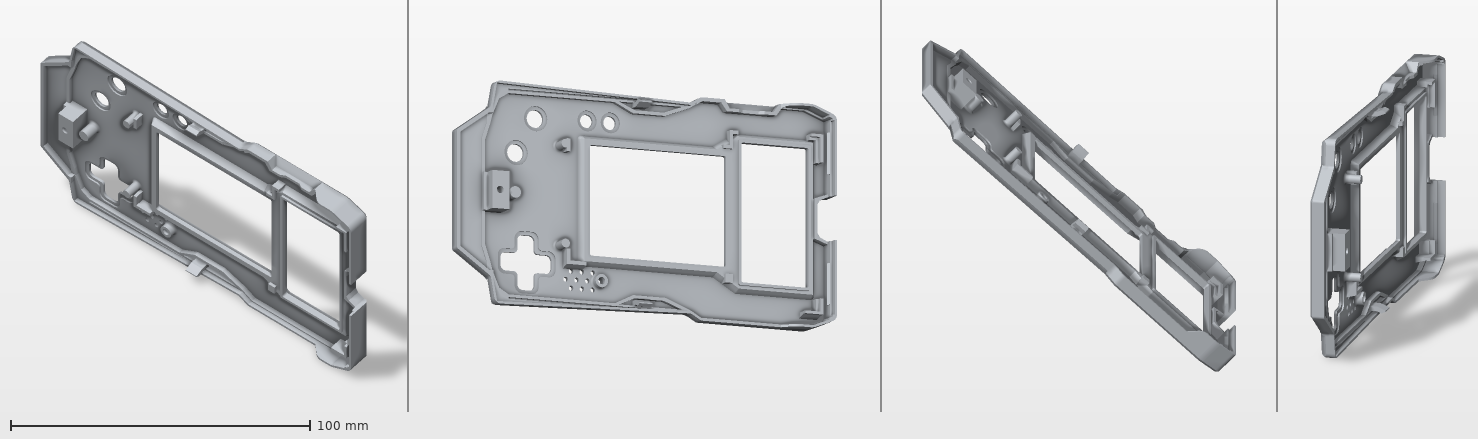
import cadquery as cq
import math


LENGTH = 137.5
HEIGHT = 76.0
HALF_HEIGHT = HEIGHT / 2
TOTAL_DEPTH = 9.1
RIM_DEPTH = 5.0
FLOOR_DEPTH = 1.5
WING_FLOOR_DEPTH = 2.8
WING_EDGE_DEPTH = 3.2
FRAME_DEPTH = 4.0
LEDGE_DEPTH = 3.3
RIB_DEPTH = 5.1
RIB_THICKNESS = 1.2
STEP_WIDTH = 1.0
TALL_RIB_DEPTH = 6.7
OUTER_CHAMFER = 0.8
SIDE_BEVEL_DEPTH = 1.9
SIDE_BEVEL_INSET = 1.4
WALL = 1.4


def plane_at(depth):
    """Workplane parallel to the outer face, with +X and +Z as its axes and extruding towards -Y."""
    return cq.Workplane("XZ", origin=(0, -depth, 0))


def prism(points, start, end):
    """Polygon in X and Z, extruded from one depth to another."""
    return plane_at(start).polyline(points).close().extrude(end - start)


def box(x0, x1, z0, z1, start, end):
    """Block between two X, two Z and two depth limits."""
    return prism([(x0, z0), (x1, z0), (x1, z1), (x0, z1)], start, end)


def disc(x, z, diameter, start, end):
    """Round bar along Y."""
    return plane_at(start).center(x, z).circle(diameter / 2).extrude(end - start)


def flipped(points):
    """The same points on the opposite side of the length axis, in reverse order."""
    return [(x, -z) for x, z in reversed(points)]


def both_sides(points):
    """Closed outline from its upper half."""
    return points + flipped(points)


def round_corner(body, corner, radius):
    """Round the edges along Y at a corner of the outline and at its mirror image."""
    x, z = corner
    for side in (1, -1):
        body = body.edges(cq.NearestToPointSelector((x, -TOTAL_DEPTH / 2, side * z))).fillet(radius)
    return body


WING_TIP = (0, 20.2)
WING_ROOT = (12.4, 28.9)
SHOULDER = (14.0, HALF_HEIGHT)
WAIST = (85.8, 35.9)
GRIP_START = (89.5, HALF_HEIGHT)
GRIP_END = (129.0, HALF_HEIGHT)
END_CORNER = (LENGTH, 34.6)
OUTLINE = [WING_TIP, WING_ROOT, SHOULDER, WAIST, GRIP_START, GRIP_END, END_CORNER]
CORNER_RADII = [
    (WING_TIP, 1.1),
    (WING_ROOT, 1.4),
    (SHOULDER, 2.5),
    (WAIST, 2.8),
    (GRIP_START, 2.8),
    (GRIP_END, 6.2),
    (END_CORNER, 2.6),
]

GRIP_RAMP_START = 118.8
GRIP_RAMP_MIDDLE = (121.4, -7.7)
GRIP_RAMP_ARC = (122.8, -8.7)
GRIP_RAMP_END = 124.7

SIDE_WALL_Z = 34.2
GRIP_WALL_Z = 36.7
END_WALL_X = 136.0
POCKET_Z = 31.0
SCALLOP_WALL_Z = 34.0
WING_FLOOR_EDGE = [(9.9, 18.3), (11.5, 23.2), (11.8, 26.8)]
MAIN_FLOOR_EDGE = [(11.1, 17.9), (13.2, 24.0), (13.9, 26.8)]
WING_CAVITY_TIP = (WALL, 19.5)

CAVITY_LEFT = [WING_CAVITY_TIP, WING_FLOOR_EDGE[-1], MAIN_FLOOR_EDGE[-1], (16.2, 32.2)]
CAVITY_SIDE = [
    (19.7, SIDE_WALL_Z),
    (58.6, SIDE_WALL_Z),
    (65.3, POCKET_Z),
    (77.1, POCKET_Z),
    (85.8, SIDE_WALL_Z),
    (90.0, GRIP_WALL_Z),
]
CAVITY_SCALLOP = [
    (97.0, GRIP_WALL_Z),
    (99.0, SCALLOP_WALL_Z),
    (117.2, SCALLOP_WALL_Z),
    (119.2, GRIP_WALL_Z),
]
CAVITY_END = [(128.2, GRIP_WALL_Z), (END_WALL_X, 33.7)]


def shell_blank():
    """Solid outline with a chamfered outer face and the stepped depth of the grip."""
    body = prism(both_sides(OUTLINE), 0, TOTAL_DEPTH)
    for corner, radius in CORNER_RADII:
        body = round_corner(body, corner, radius)
    body = body.faces(">Y").chamfer(OUTER_CHAMFER)
    profile = (
        cq.Workplane("XY", origin=(0, 0, -HALF_HEIGHT))
        .moveTo(0, 0)
        .lineTo(0, -RIM_DEPTH)
        .lineTo(GRIP_RAMP_START, -RIM_DEPTH)
        .lineTo(*GRIP_RAMP_MIDDLE)
        .threePointArc(GRIP_RAMP_ARC, (GRIP_RAMP_END, -TOTAL_DEPTH))
        .lineTo(LENGTH, -TOTAL_DEPTH)
        .lineTo(LENGTH, 0)
        .close()
        .extrude(HEIGHT)
    )
    return body.intersect(profile)


def side_bevel(start, end, side):
    """Cutter for the deeper bevel along one straight stretch of the outline."""
    run = (end[0] - start[0], 0, side * (end[1] - start[1]))
    plane = cq.Plane(origin=(start[0], 0, side * start[1]), xDir=(0, 1, 0), normal=run)
    triangle = [(0, -side * SIDE_BEVEL_INSET), (-SIDE_BEVEL_DEPTH, 0), (0, 0)]
    return cq.Workplane(plane).polyline(triangle).close().extrude(math.hypot(*run))


def cavity():
    """Main cavity, with the pocket walls bulging inwards and the scallop only at the top."""
    top = CAVITY_LEFT + CAVITY_SIDE + CAVITY_SCALLOP + CAVITY_END
    bottom = flipped(CAVITY_LEFT + CAVITY_SIDE + CAVITY_END)
    return prism(top + bottom, FLOOR_DEPTH, TOTAL_DEPTH)


def wing_floor():
    """Raised floor of the wing, with a low ridge along the edge where it drops to the main floor."""
    floor = prism(both_sides([WING_CAVITY_TIP] + WING_FLOOR_EDGE[::-1]), FLOOR_DEPTH, WING_FLOOR_DEPTH)
    upper_half = WING_FLOOR_EDGE + MAIN_FLOOR_EDGE[::-1]
    lower_half = [(x, -z) for x, z in upper_half]
    middle = [WING_FLOOR_EDGE[0], MAIN_FLOOR_EDGE[0]]
    middle += flipped(middle)
    for outline in (upper_half, lower_half, middle):
        floor = floor.union(prism(outline, FLOOR_DEPTH, WING_EDGE_DEPTH))
    return floor


RIM_LIP = 0.8
LEDGE_X = (13.3, 88.0)
GRIP_LEDGE_X = (119.9, 134.8)
GRIP_LEDGE_Z = 27.5
GROOVE_X = (19.7, 85.2)
GROOVE_Z = (35.2, 35.8)
GROOVE_FLOOR = 2.3
CLIP_POCKET = [(60.2, 34.5), (65.9, 32.0), (76.6, 32.0), (83.3, 34.5)]


def rim_ledge():
    """Cutter leaving a ledge inside a thin outer lip, all along except the scalloped stretch."""
    inside = (
        plane_at(LEDGE_DEPTH)
        .polyline(both_sides(OUTLINE))
        .close()
        .offset2D(-RIM_LIP, "intersection")
        .extrude(TOTAL_DEPTH - LEDGE_DEPTH)
    )
    depths = (LEDGE_DEPTH, TOTAL_DEPTH)
    region = box(*LEDGE_X, -HALF_HEIGHT, HALF_HEIGHT, *depths)
    region = region.union(box(*GRIP_LEDGE_X, GRIP_LEDGE_Z, HALF_HEIGHT, *depths))
    region = region.union(box(LEDGE_X[1], GRIP_LEDGE_X[1], -HALF_HEIGHT, -GRIP_LEDGE_Z, *depths))
    return inside.intersect(region)


def rim_groove(side):
    """Shallow groove in the ledge."""
    low, high = sorted(side * z for z in GROOVE_Z)
    return box(*GROOVE_X, low, high, GROOVE_FLOOR, LEDGE_DEPTH)


def clip_pocket(side):
    """Pocket behind the bulging wall, where the clip stands."""
    points = [(x, side * z) for x, z in CLIP_POCKET]
    return prism(points, FLOOR_DEPTH, RIM_DEPTH)


SCALLOP_OUTLINE = [(98.2, HALF_HEIGHT), (100.0, 35.0), (116.0, 35.0), (118.4, HALF_HEIGHT)]
SCALLOP_TOP_DEPTH = 0.4
SCALLOP_LOW_DEPTH = 2.6
SCALLOP_NOTCH = [(103.4, -RIM_DEPTH), (105.2, -4.0), (111.0, -4.0), (112.8, -RIM_DEPTH)]


def scallop():
    """Cutter with a floor sloping down to the inner wall, and a notch through that wall."""
    low_z = SCALLOP_OUTLINE[1][1]
    wedge = (
        cq.Workplane("YZ")
        .polyline(
            [
                (-SCALLOP_TOP_DEPTH, HALF_HEIGHT),
                (-SCALLOP_LOW_DEPTH, low_z),
                (-TOTAL_DEPTH, low_z),
                (-TOTAL_DEPTH, HALF_HEIGHT),
            ]
        )
        .close()
        .extrude(LENGTH)
    )
    notch = (
        cq.Workplane("XY", origin=(0, 0, SCALLOP_WALL_Z))
        .polyline(SCALLOP_NOTCH)
        .close()
        .extrude(low_z - SCALLOP_WALL_Z)
    )
    return wedge.intersect(prism(SCALLOP_OUTLINE, 0, TOTAL_DEPTH)).union(notch)


WINDOW_HALF_HEIGHT = 18.8
WINDOW_X = (49.2, 99.0)
PORT_HALF_HEIGHT = 23.8
PORT_X = (104.4, 129.0)
WINDOW_RADIUS = 0.7
PORT_LIP = 1.0
PORT_LIP_DEPTH = 4.8
LENS_RECESS = 2.5
FRAME_TOP = [(47.2, 20.9), (95.7, 20.9), (103.8, 25.8), (130.9, 25.8)]
FRAME_SLOPE = 1.4


def window(x_limits, half_height, margin, start, end):
    """Rounded rectangular opening, grown by a margin."""
    x0, x1 = x_limits
    return (
        plane_at(start)
        .center((x0 + x1) / 2, 0)
        .rect(x1 - x0 + 2 * margin, 2 * (half_height + margin))
        .extrude(end - start)
        .edges("|Y")
        .fillet(WINDOW_RADIUS)
    )


def frame():
    """Raised frame with sloping sides."""
    height = FRAME_DEPTH - FLOOR_DEPTH
    taper = math.degrees(math.atan2(FRAME_SLOPE, height))
    return (
        plane_at(FRAME_DEPTH)
        .polyline(both_sides(FRAME_TOP))
        .close()
        .extrude(-height, taper=-taper)
    )


NOTCH_HALF_WIDTH = 7.5
NOTCH = [(LENGTH, NOTCH_HALF_WIDTH), (135.8, NOTCH_HALF_WIDTH), (133.1, 6.3), (132.1, 4.8)]
NOTCH_LIP = [(136.1, 8.5), (135.8, 8.5), (131.2, 6.9)]
END_STEP_DEPTH = 6.7
END_STEP_HALF_HEIGHT = 33.0
END_STEP_X = 136.7
RIDGE_Z = (15.1, 29.3)
RIDGE_HEIGHT = 0.8


def end_ridge(side):
    """Snap ridge on the inside of the end wall."""
    points = [
        (END_WALL_X, -END_STEP_DEPTH),
        (END_WALL_X - RIDGE_HEIGHT, -END_STEP_DEPTH + RIDGE_HEIGHT),
        (END_WALL_X, -END_STEP_DEPTH + 2 * RIDGE_HEIGHT),
    ]
    start = RIDGE_Z[0] if side > 0 else -RIDGE_Z[1]
    return (
        cq.Workplane("XY", origin=(0, 0, start)).polyline(points).close().extrude(RIDGE_Z[1] - RIDGE_Z[0])
    )


BUTTONS = [
    (30.4, 26.7, 6.0, 8.5),
    (23.2, 14.6, 6.0, 8.5),
    (49.2, 27.4, 4.5, 7.0),
    (57.8, 27.4, 4.5, 7.0),
]
BUTTON_RECESS = 0.5
PAD_CENTER = (27.1, -22.5)
PAD_HALF_SPAN = 9.4
PAD_HALF_ARM = 3.2
PAD_TIP_RADIUS = 1.9
PAD_INNER_RADIUS = 1.2
PAD_MARGIN = 1.2


def pad_cross(margin, start, end):
    """Cross-shaped direction pad opening, grown by a margin."""
    span = PAD_HALF_SPAN + margin
    arm = PAD_HALF_ARM + margin
    tips = plane_at(start).center(*PAD_CENTER).rect(2 * span, 2 * arm).extrude(end - start)
    tips = tips.edges("|Y").fillet(PAD_TIP_RADIUS + margin / 2)
    upright = plane_at(start).center(*PAD_CENTER).rect(2 * arm, 2 * span).extrude(end - start)
    upright = upright.edges("|Y").fillet(PAD_TIP_RADIUS + margin / 2)
    x, z = PAD_CENTER
    reach = arm + WINDOW_RADIUS
    inner = cq.selectors.BoxSelector(
        (x - reach, -TOTAL_DEPTH, z - reach),
        (x + reach, 0, z + reach),
    )
    return tips.union(upright).edges("|Y").edges(inner).fillet(PAD_INNER_RADIUS)


SPEAKER_HOLE = 1.6
SPEAKER_PITCH = 4.0
SPEAKER_ROW_GAP = 2.9
SPEAKER_FIRST = (41.4, -27.1)


def speaker_holes():
    """Three rows of three, the outer rows shifted by half a pitch."""
    x0, z0 = SPEAKER_FIRST
    centers = []
    for row in (-1, 0, 1):
        for column in range(3):
            x = x0 + (column + abs(row) / 2) * SPEAKER_PITCH
            centers.append((x, z0 + row * SPEAKER_ROW_GAP))
    return plane_at(0).pushPoints(centers).circle(SPEAKER_HOLE / 2).extrude(TOTAL_DEPTH)


POST_DEPTH = 7.2
POST_FILLET = 0.75
SMALL_POST = 3.0
LARGE_POST = 4.0
UPPER_POST = (38.9, 18.0)
LOWER_POST = (38.9, -16.0)
MIDDLE_POST = (20.5, 0)
BOSS = (53.5, -27.1)
BOSS_DIAMETER = 4.5
BOSS_DEPTH = 4.1
SCREW_HOLE = 2.5
RIB_X = 40.3


def post(x, z, diameter, end):
    """Round post flaring into the floor with a concave fillet."""
    radius = diameter / 2
    sag = POST_FILLET * (1 - math.sqrt(0.5))
    return (
        cq.Workplane("XY", origin=(x, 0, z))
        .moveTo(0, -end)
        .lineTo(radius, -end)
        .lineTo(radius, -FLOOR_DEPTH - POST_FILLET)
        .threePointArc((radius + sag, -FLOOR_DEPTH - sag), (radius + POST_FILLET, -FLOOR_DEPTH))
        .lineTo(0, -FLOOR_DEPTH)
        .close()
        .revolve(360, (0, 0, 0), (0, 1, 0))
    )


BLOCK_X = (9.9, 17.5)
BLOCK_STEP_X = 11.1
BLOCK_HALF_WIDTH = 6.5
BLOCK_HOLE_X = 14.0
BLOCK_HOLE_FLOOR = 5.0


def screw_block():
    """Tall block beside the wing, with a low step over the floor edge and a blind screw hole."""
    body = box(*BLOCK_X, -BLOCK_HALF_WIDTH, BLOCK_HALF_WIDTH, FLOOR_DEPTH, RIM_DEPTH)
    tall = box(BLOCK_STEP_X, BLOCK_X[1], -BLOCK_HALF_WIDTH, BLOCK_HALF_WIDTH, RIM_DEPTH, TOTAL_DEPTH)
    hole = disc(BLOCK_HOLE_X, 0, SCREW_HOLE, BLOCK_HOLE_FLOOR, TOTAL_DEPTH)
    return body.union(tall).cut(hole)


POST_RIB_HALF_LENGTH = 2.2
LEFT_RIB_CORNER = (RIB_X, -22.5)
LEFT_RIB_ENDS = (47.5, -17.3)
UPPER_RIB_CORNER = (133.5, 28.5)
UPPER_RIB_ENDS = (129.1, 18.8)
LOWER_RIB_CORNER = (133.5, -32.9)
LOWER_RIB_ENDS = (126.9, -27.4)
UPPER_MIDDLE_RIB = [
    (97.6, 21.3),
    (101.2, 21.3),
    (101.2, 26.4),
    (103.1, 26.4),
    (103.1, 27.6),
    (100.1, 27.6),
    (100.1, 22.5),
    (97.6, 22.5),
]
LOWER_MIDDLE_RIB_X = (98.5, 101.2)
LOWER_MIDDLE_RIB_Z = (-24.3, -21.3)


def step_rib(outer, inner):
    """Rib with a tall outer band and a lower inner shelf, both given as outlines."""
    tall = prism(outer, FLOOR_DEPTH, TALL_RIB_DEPTH)
    return tall.union(prism(inner, FLOOR_DEPTH, RIB_DEPTH))


def corner_outline(x_end, z_end, x_corner, z_corner, width):
    """L-shaped outline: one arm along X to x_end, one along Z to z_end, outside corner given."""
    dx = math.copysign(width, x_end - x_corner)
    dz = math.copysign(width, z_end - z_corner)
    return [
        (x_corner, z_corner),
        (x_end, z_corner),
        (x_end, z_corner + dz),
        (x_corner + dx, z_corner + dz),
        (x_corner + dx, z_end),
        (x_corner, z_end),
    ]


def post_rib():
    """Short straight rib beside the upper post."""
    z = UPPER_POST[1]
    half = POST_RIB_HALF_LENGTH
    return box(RIB_X, RIB_X + RIB_THICKNESS, z - half, z + half, FLOOR_DEPTH, RIB_DEPTH)


def foot_slope(corner, ends):
    """Wedge that widens the arm along X of a corner rib towards the floor."""
    x, z = corner
    points = [(-RIB_DEPTH, z), (-FLOOR_DEPTH, z), (-FLOOR_DEPTH, z - STEP_WIDTH)]
    return cq.Workplane("YZ", origin=(x, 0, 0)).polyline(points).close().extrude(ends[0] - x)


def left_corner_rib():
    """L-shaped rib below the lower post."""
    outline = corner_outline(*LEFT_RIB_ENDS, *LEFT_RIB_CORNER, RIB_THICKNESS)
    return prism(outline, FLOOR_DEPTH, RIB_DEPTH).union(foot_slope(LEFT_RIB_CORNER, LEFT_RIB_ENDS))


def upper_middle_rib():
    """Z-shaped rib where the frame widens."""
    return prism(UPPER_MIDDLE_RIB, FLOOR_DEPTH, RIB_DEPTH)


def lower_middle_rib():
    """Short block where the frame widens."""
    return box(*LOWER_MIDDLE_RIB_X, *LOWER_MIDDLE_RIB_Z, FLOOR_DEPTH, RIB_DEPTH)


def upper_right_rib():
    """L-shaped rib with a shelf along both arms."""
    arms = (*UPPER_RIB_ENDS, *UPPER_RIB_CORNER)
    return step_rib(corner_outline(*arms, STEP_WIDTH), corner_outline(*arms, 2 * STEP_WIDTH))


def lower_right_rib():
    """L-shaped rib with a shelf along the arm in Z and a sloping foot."""
    x, z = LOWER_RIB_CORNER
    x_end, z_end = LOWER_RIB_ENDS
    shelf_z = z + STEP_WIDTH
    shelf = [(x - 2 * STEP_WIDTH, shelf_z), (x, shelf_z), (x, z_end), (x - 2 * STEP_WIDTH, z_end)]
    rib = step_rib(corner_outline(x_end, z_end, x, z, STEP_WIDTH), shelf)
    return rib.union(foot_slope(LOWER_RIB_CORNER, LOWER_RIB_ENDS))


CLIP_X = (65.5, 70.1)
CLIP_DEPTH = 8.2
CLIP_RIDGE_DEPTH = 6.7
CLIP_RIDGE_BASE = 5.2
CLIP_RIDGE = 0.7
CLIP_OUTER_Z = 34.5
CLIP_TIP_Z = 34.1
CLIP_INNER_Z = 32.9


def clip(side):
    """Upright tab in the clip pocket with a tapered inner face and an outward snap ridge."""
    points = [
        (-FLOOR_DEPTH, CLIP_OUTER_Z),
        (-CLIP_RIDGE_BASE, CLIP_OUTER_Z),
        (-CLIP_RIDGE_DEPTH, CLIP_OUTER_Z + CLIP_RIDGE),
        (-CLIP_DEPTH, CLIP_OUTER_Z),
        (-CLIP_DEPTH, CLIP_TIP_Z),
        (-CLIP_RIDGE_BASE, CLIP_INNER_Z),
        (-FLOOR_DEPTH, CLIP_INNER_Z),
    ]
    points = [(y, side * z) for y, z in points]
    return (
        cq.Workplane("YZ", origin=(CLIP_X[0], 0, 0))
        .polyline(points)
        .close()
        .extrude(CLIP_X[1] - CLIP_X[0])
    )


def make_housing(ribs):
    """Complete shell, with the ribs' seats cut out of it."""
    body = shell_blank().cut(cavity()).union(wing_floor()).cut(rim_ledge())
    for side in (1, -1):
        body = body.cut(side_bevel(SHOULDER, WAIST, side)).cut(side_bevel(WING_ROOT, SHOULDER, side))
        body = body.cut(rim_groove(side)).cut(clip_pocket(side))
        body = body.union(end_ridge(side))
    body = body.cut(scallop())
    step = box(
        END_WALL_X, END_STEP_X, -END_STEP_HALF_HEIGHT, END_STEP_HALF_HEIGHT, END_STEP_DEPTH, TOTAL_DEPTH
    )
    body = body.cut(step)
    body = body.union(prism(both_sides(NOTCH_LIP), FLOOR_DEPTH, RIM_DEPTH)).union(frame())
    body = body.cut(prism(both_sides(NOTCH), 0, TOTAL_DEPTH))
    body = body.cut(prism(both_sides(FRAME_TOP), 0, LENS_RECESS))
    body = body.union(window(PORT_X, PORT_HALF_HEIGHT, PORT_LIP, FRAME_DEPTH, PORT_LIP_DEPTH))
    body = body.cut(window(WINDOW_X, WINDOW_HALF_HEIGHT, 0, 0, TOTAL_DEPTH))
    body = body.cut(window(PORT_X, PORT_HALF_HEIGHT, 0, 0, TOTAL_DEPTH))
    for x, z, through, recess in BUTTONS:
        body = body.cut(disc(x, z, through, 0, TOTAL_DEPTH))
        body = body.cut(disc(x, z, recess, FLOOR_DEPTH - BUTTON_RECESS, TOTAL_DEPTH))
    body = body.cut(pad_cross(0, 0, TOTAL_DEPTH))
    body = body.cut(pad_cross(PAD_MARGIN, FLOOR_DEPTH - BUTTON_RECESS, TOTAL_DEPTH))
    body = body.cut(speaker_holes())
    upper = post(*UPPER_POST, SMALL_POST, POST_DEPTH)
    upper = upper.cut(box(RIB_X, RIB_X + RIB_THICKNESS, 0, HALF_HEIGHT, FLOOR_DEPTH, TOTAL_DEPTH))
    body = body.union(upper).union(post(*LOWER_POST, SMALL_POST, POST_DEPTH))
    body = body.union(post(*MIDDLE_POST, LARGE_POST, POST_DEPTH)).union(screw_block())
    body = body.union(post(*BOSS, BOSS_DIAMETER, BOSS_DEPTH)).cut(disc(*BOSS, SCREW_HOLE, 0, TOTAL_DEPTH))
    for rib in ribs:
        body = body.cut(rib)
    return body


ribs = [
    post_rib(),
    left_corner_rib(),
    upper_middle_rib(),
    lower_middle_rib(),
    upper_right_rib(),
    lower_right_rib(),
]
clips = [clip(side) for side in (1, -1)]
housing = make_housing(ribs)

bodies = [housing, *ribs, *clips]
result = cq.Compound.makeCompound([solid for body in bodies for solid in body.solids().vals()])